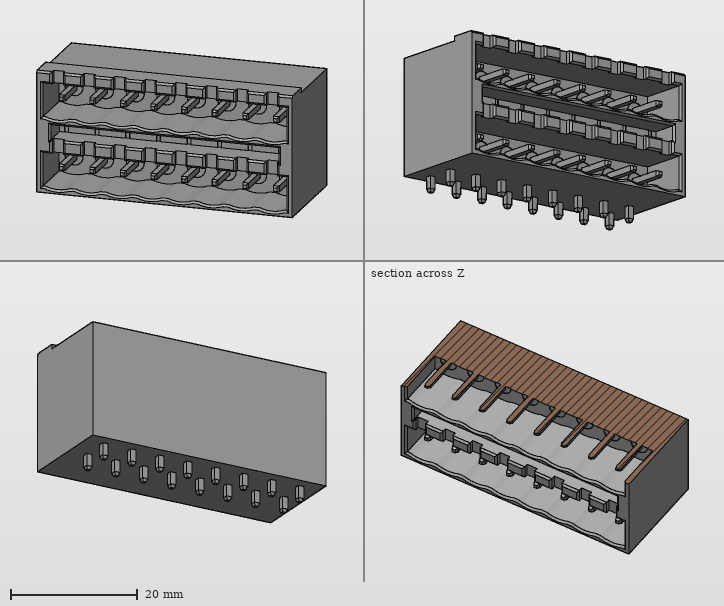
import cadquery as cq

WIDTH = 42.45
DEPTH = 17.6
LIP_HEIGHT = 20.12
STEP_DROP = 0.75
LIP_DEPTH = 4.63
MOUTH_CHAMFER = 0.35
EDGE_TOLERANCE = 0.005

CONTACTS = 8
CONTACT_SPAN = 35.57
PITCH = CONTACT_SPAN / (CONTACTS - 1)
ROW_SPACING = 11.5
contact_x = [(i - (CONTACTS - 1) / 2) * PITCH for i in range(CONTACTS)]
row_offsets = [0.0, ROW_SPACING]

SIDE_WALL = 0.98
SOCKET_DEPTH = 8.5
SOCKET_FLOOR = 1.0
SOCKET_ROOF = 6.6
SCALLOP_WIDTH = 4.08
SCALLOP_SAG = 0.4

NOTCH_WIDTH = 1.83
NOTCH_DEPTH = 1.0

SLOT_WIDTH = 37.85
SLOT_BOTTOM = 8.85
SLOT_TOP = 11.3
SLOT_DEPTH = 4.65
GROOVE_WIDTH = 0.65
GROOVE_DEPTH = 0.2

PIN_SIZE = 0.98
PIN_HEIGHT = 3.7
PIN_TIP_SETBACK = 1.95
COLLAR_DIAMETER = 2.97
COLLAR_RECESS = 0.1
SOLDER_PIN_LENGTH = 2.6
PIN_EMBED = 0.42
PIN_TIP_LENGTH = 0.55
PIN_TIP_INSET = 0.2
REAR_PIN_INSET = 2.45
REAR_PIN_Y = DEPTH - REAR_PIN_INSET
solder_rows = [REAR_PIN_Y - PITCH, REAR_PIN_Y]


def block(width, y_front, y_back, z_low, z_high, x=0.0):
    """Box centred on x, spanning the given Y and Z ranges."""
    return cq.Workplane("XY").box(
        width, y_back - y_front, z_high - z_low, centered=(True, False, False)
    ).translate((x, y_front, z_low))


def socket(z_row):
    """Socket with a flat roof and one scallop in the floor below each contact."""
    half_width = WIDTH / 2 - SIDE_WALL
    floor = z_row + SOCKET_FLOOR
    outline = cq.Workplane("XZ").moveTo(-half_width, z_row + SOCKET_ROOF).lineTo(-half_width, floor)
    for x in contact_x:
        outline = outline.lineTo(x - SCALLOP_WIDTH / 2, floor)
        outline = outline.threePointArc((x, floor - SCALLOP_SAG), (x + SCALLOP_WIDTH / 2, floor))
    outline = outline.lineTo(half_width, floor).lineTo(half_width, z_row + SOCKET_ROOF).close()
    return outline.extrude(-SOCKET_DEPTH)


def is_mouth_edge(edge):
    """True for front-face edges other than the sharp sides and bottom of the housing."""
    center = edge.Center()
    return abs(center.x) < WIDTH / 2 - EDGE_TOLERANCE and center.z > EDGE_TOLERANCE


def coding_notches():
    """Notches above each contact: open at the top in the upper row, into the slot in the lower row."""
    return [
        block(NOTCH_WIDTH, 0, NOTCH_DEPTH, z_row + SOCKET_ROOF, notch_top, x)
        for z_row, notch_top in zip(row_offsets, [SLOT_BOTTOM, LIP_HEIGHT])
        for x in contact_x
    ]


def slot_grooves():
    """Narrow vertical grooves in the back wall of the slot, one per contact."""
    return [
        block(GROOVE_WIDTH, SLOT_DEPTH, SLOT_DEPTH + GROOVE_DEPTH, SLOT_BOTTOM, SLOT_TOP, x)
        for x in contact_x
    ]


def solids(parts):
    return [part.val() for part in parts]


def housing():
    body = block(WIDTH, 0, DEPTH, 0, LIP_HEIGHT - STEP_DROP)
    body = body.union(block(WIDTH, 0, LIP_DEPTH, 0, LIP_HEIGHT))
    slot = block(SLOT_WIDTH, 0, SLOT_DEPTH, SLOT_BOTTOM, SLOT_TOP)
    sockets = [socket(z_row) for z_row in row_offsets]
    body = cq.Workplane(body.val().cut(*solids([slot] + sockets + coding_notches())))
    mouth_edges = [edge for edge in body.faces("<Y").edges().vals() if is_mouth_edge(edge)]
    body = body.newObject(mouth_edges).chamfer(MOUTH_CHAMFER)
    return body.val()


def collar_recess(x, z):
    """Shallow round recess around a contact pin at the back of its socket."""
    disc = cq.Workplane("XZ").circle(COLLAR_DIAMETER / 2).extrude(-COLLAR_RECESS)
    return disc.translate((x, SOCKET_DEPTH, z))


def pin(length):
    """Square pin standing on Z with its tapered tip at the origin."""
    half = PIN_SIZE / 2
    post = block(PIN_SIZE, -half, half, 0, length)
    return post.faces("<Z").chamfer(PIN_TIP_LENGTH, PIN_TIP_INSET)


def contact_pin(x, z):
    reach = SOCKET_DEPTH - PIN_TIP_SETBACK + PIN_EMBED
    return pin(reach).rotate((0, 0, 0), (1, 0, 0), -90).translate((x, PIN_TIP_SETBACK, z))


def solder_pin(x, y):
    return pin(SOLDER_PIN_LENGTH + PIN_EMBED).translate((x, y, -SOLDER_PIN_LENGTH))


contact_centers = [(x, z_row + PIN_HEIGHT) for x in contact_x for z_row in row_offsets]
recesses = [collar_recess(x, z) for x, z in contact_centers]
pins = [contact_pin(x, z) for x, z in contact_centers]
pins += [solder_pin(x, y) for x in contact_x for y in solder_rows]

body = housing().cut(*solids(slot_grooves() + recesses))
result = cq.Workplane(body.fuse(*solids(pins))).solids()